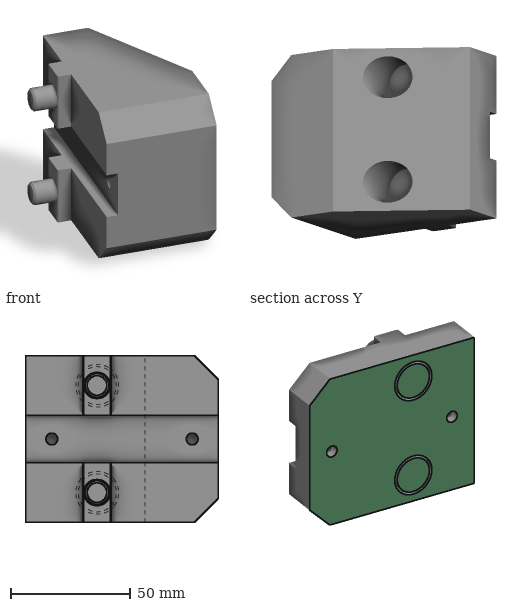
import cadquery as cq
import math


LENGTH = 81.0
DEPTH = 49.0
HEIGHT = 70.0
SLOPE_ANGLE = 30.0
FLAT_BACK_LENGTH = 31.0
CORNER_CHAMFER = 10.0
SLOPE_LENGTH = LENGTH - FLAT_BACK_LENGTH
SHORT_END_DEPTH = DEPTH - SLOPE_LENGTH * math.tan(math.radians(SLOPE_ANGLE))

KEY_CENTER_X = 30.0
KEY_WIDTH = 12.0
KEY_HEIGHT = 6.0
KEY_CHAMFER = 0.5

SLOT_WIDTH = 20.0
SLOT_DEPTH = 5.0

TAP_DIAMETER = 4.92
TAP_DEPTH = 12.0
TAP_END_INSET = 11.0
DRILL_POINT_ANGLE = 118.0
TAP_POSITIONS_X = (TAP_END_INSET, LENGTH - TAP_END_INSET)

SCREW_OFFSET_Z = 22.5
SCREW_DIAMETER = 10.0
SCREW_LENGTH = 30.0
SCREW_PROTRUSION = 10.0
SCREW_TIP_CHAMFER = 0.9
HEAD_DIAMETER = 16.0
HEAD_HEIGHT = SCREW_DIAMETER
CLEARANCE_DIAMETER = 11.0
COUNTERBORE_DIAMETER = 18.0
SCREW_TIP_Y = -KEY_HEIGHT - SCREW_PROTRUSION
SEAT_Y = SCREW_TIP_Y + SCREW_LENGTH


def cylinder_along_y(diameter, x, z, y_start, y_end):
    """Cylinder parallel to Y between two Y positions."""
    return cq.Workplane(
        cq.Solid.makeCylinder(
            diameter / 2, y_end - y_start, cq.Vector(x, y_start, z), cq.Vector(0, 1, 0)
        )
    )


def make_body():
    """Wedge-shaped block with two bevelled corners at the long end."""
    outline = [
        (0, 0),
        (LENGTH, 0),
        (LENGTH, DEPTH),
        (SLOPE_LENGTH, DEPTH),
        (0, SHORT_END_DEPTH),
    ]
    body = cq.Workplane("XY").polyline(outline).close().extrude(HEIGHT / 2, both=True)
    return body.faces(">X").edges("|Y").chamfer(CORNER_CHAMFER)


def make_key():
    """Full-height key with its two outer edges broken."""
    key = cq.Workplane("XY").box(KEY_WIDTH, KEY_HEIGHT, HEIGHT)
    key = key.faces("<Y").edges("|Z").chamfer(KEY_CHAMFER)
    return key.translate((KEY_CENTER_X, -KEY_HEIGHT / 2, 0))


def make_slot():
    """Cutter for the slot, passing through the key and into the body."""
    cut_depth = KEY_HEIGHT + SLOT_DEPTH
    slot = cq.Workplane("XY").box(LENGTH, cut_depth, SLOT_WIDTH)
    return slot.translate((LENGTH / 2, SLOT_DEPTH - cut_depth / 2, 0))


def make_tap_hole(x):
    """Cutter for a blind hole with a drill-point bottom."""
    radius = TAP_DIAMETER / 2
    point_length = radius / math.tan(math.radians(DRILL_POINT_ANGLE / 2))
    bottom_y = SLOT_DEPTH + TAP_DEPTH
    half_profile = [
        (x, SLOT_DEPTH),
        (x + radius, SLOT_DEPTH),
        (x + radius, bottom_y),
        (x, bottom_y + point_length),
    ]
    profile = cq.Workplane("XY").polyline(half_profile).close()
    return profile.revolve(360, (x, 0, 0), (x, 1, 0))


def make_screw_hole(z):
    """Cutter for a clearance hole and its counterbore."""
    clearance = cylinder_along_y(CLEARANCE_DIAMETER, KEY_CENTER_X, z, -KEY_HEIGHT, SEAT_Y)
    counterbore = cylinder_along_y(COUNTERBORE_DIAMETER, KEY_CENTER_X, z, SEAT_Y, DEPTH)
    return clearance.union(counterbore)


def make_screw(z):
    """Cap screw with a plain head resting on the counterbore seat."""
    shank = cylinder_along_y(SCREW_DIAMETER, KEY_CENTER_X, z, SCREW_TIP_Y, SEAT_Y)
    shank = shank.faces("<Y").chamfer(SCREW_TIP_CHAMFER)
    head = cylinder_along_y(HEAD_DIAMETER, KEY_CENTER_X, z, SEAT_Y, SEAT_Y + HEAD_HEIGHT)
    return shank.union(head)


result = make_body().union(make_key()).cut(make_slot())

for tap_x in TAP_POSITIONS_X:
    result = result.cut(make_tap_hole(tap_x))

for screw_z in (-SCREW_OFFSET_Z, SCREW_OFFSET_Z):
    result = result.cut(make_screw_hole(screw_z))
    result = result.union(make_screw(screw_z))